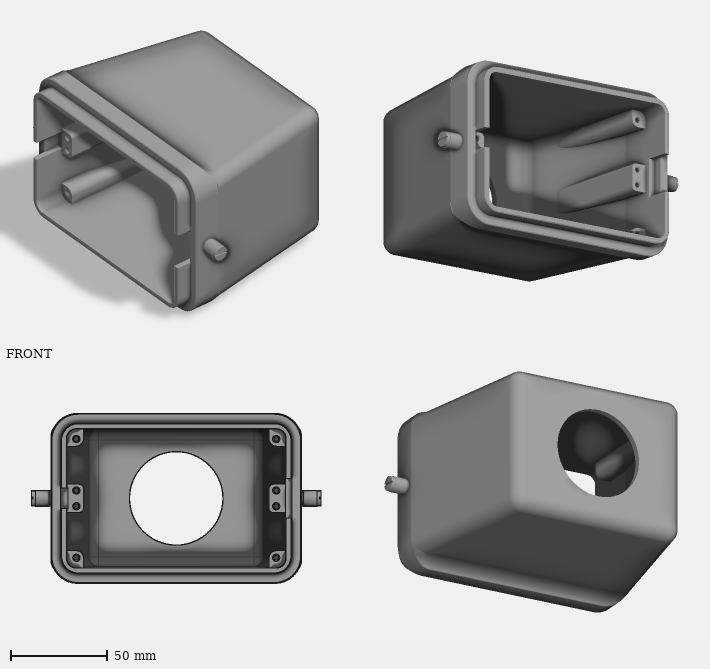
import cadquery as cq
depth = 106.0
pin_span = 150.8

collar_width = 130.5
collar_height = 88.5
collar_corner = 14.0
collar_front = 8.0
shoulder_end = 26.5
shoulder_cove = 10.0
shoulder_round = 0.8
edge_margin = 0.2
edge_break = 0.5

body_height = 78.5
body_end_width = 97.7
taper_start = 22.9
side_slope = (collar_width - body_end_width) / 2 / (depth - taper_start)
taper_front_width = collar_width + 2 * side_slope * (taper_start - collar_front)
body_round = 7.0

lip_width = 120.3
lip_corner = 9.0
wall = 3.0

cavity_kink = 33.2
cavity_floor = 102.2
cavity_end_width = 89.3
cavity_end_height = 70.9
cavity_mouth_width = lip_width - 2 * wall
cavity_mouth_height = body_height - 2 * wall
cavity_kink_width = 113.4
cavity_round = 5.0
cable_hole_diameter = 48.5

post_front = 16.6
post_inner_x = 48.3
corner_post_inner_z = 27.1
center_post_height = 14.8
post_round = 3.9
center_post_round = 2.3
screw_x = 52.0
corner_screw_z = 30.9
center_screw_z = 4.0
screw_diameter = 2.5
screw_mouth_diameter = 3.8
screw_depth = 12.0

left_notch_width = 10.7
right_notch_width = 20.7
left_notch_inner_x = 56.4
right_notch_inner_x = 56.5
left_notch_depth = 17.2
right_notch_depth = 13.5

pin_y = 16.6
pin_diameter = 8.5
pin_neck_diameter = 8.0
pin_neck_length = 0.9
pin_tip_length = 2.1
slot_width = 0.9
slot_depth = 0.8
slot_tilt = 5.0


def box(x_range, y_range, z_range):
    """Box given by its limits along each axis."""
    (x0, x1), (y0, y1), (z0, z1) = x_range, y_range, z_range
    return cq.Workplane("XY").box(x1 - x0, y1 - y0, z1 - z0, centered=False).translate((x0, y0, z0))


def rounded_block(width, height, corner, y_start, y_end):
    """Block along Y with rounded long edges."""
    block = box((-width / 2, width / 2), (y_start, y_end), (-height / 2, height / 2))
    return block.edges("|Y").fillet(corner)


def plan_prism(points, height):
    """Outline in X and Y, extruded symmetrically along Z."""
    return cq.Workplane("XY").polyline(points).close().extrude(height / 2, both=True)


def make_body():
    body = plan_prism(
        [
            (-taper_front_width / 2, collar_front),
            (taper_front_width / 2, collar_front),
            (body_end_width / 2, depth),
            (-body_end_width / 2, depth),
        ],
        body_height,
    )
    return body.edges("not(<Y)").fillet(body_round)


def make_collar(body):
    """Collar whose back sweeps onto the body's top, bottom and rounded edges."""
    back = shoulder_end - shoulder_cove
    margin = 2 * shoulder_cove
    slab = box(
        (-collar_width / 2 - margin, collar_width / 2 + margin),
        (collar_front, back),
        (-collar_height / 2 - margin, collar_height / 2 + margin),
    )
    swept = slab.union(body)
    meeting_edges = cq.selectors.BoxSelector(
        (-collar_width / 2 - shoulder_cove, back - edge_margin, -collar_height / 2),
        (collar_width / 2 + shoulder_cove, back + edge_margin, collar_height / 2),
        boundingbox=True,
    )
    swept = swept.edges(meeting_edges).fillet(shoulder_cove)
    outline = rounded_block(collar_width, collar_height, collar_corner, collar_front, shoulder_end)
    collar = swept.intersect(outline.faces("<Y").edges().chamfer(edge_break))
    ends = box(
        (-collar_width / 2, collar_width / 2),
        (taper_start, shoulder_end),
        (body_round - body_height / 2, body_height / 2 - body_round),
    ).cut(body)
    collar = collar.cut(ends)
    return collar.edges(">Z or <Z").edges("|X and >Y").fillet(shoulder_round)


def make_cavity():
    plan = plan_prism(
        [
            (-cavity_mouth_width / 2, 0),
            (cavity_mouth_width / 2, 0),
            (cavity_kink_width / 2, cavity_kink),
            (cavity_end_width / 2, cavity_floor),
            (-cavity_end_width / 2, cavity_floor),
            (-cavity_kink_width / 2, cavity_kink),
        ],
        cavity_mouth_height,
    )
    draft = (
        cq.Workplane("YZ")
        .polyline(
            [
                (0, -cavity_mouth_height / 2),
                (cavity_floor, -cavity_end_height / 2),
                (cavity_floor, cavity_end_height / 2),
                (0, cavity_mouth_height / 2),
            ]
        )
        .close()
        .extrude(cavity_mouth_width / 2, both=True)
    )
    cavity = plan.intersect(draft)
    return cavity.edges("not(|Z or <Y)").add(cavity.edges(">Y")).fillet(cavity_round)


def make_posts():
    x_range = (post_inner_x, cavity_mouth_width / 2 + wall / 2)
    y_range = (post_front, cavity_floor + wall / 2)
    center = box(x_range, y_range, (-center_post_height / 2, center_post_height / 2))
    center = center.edges("|Y and <X").fillet(center_post_round)
    corner = box(x_range, y_range, (corner_post_inner_z, cavity_mouth_height / 2 + wall / 2))
    corner = corner.edges("|Y and <X and <Z").fillet(post_round)
    side = center.union(corner).union(corner.mirror("XY"))
    return side.union(side.mirror("YZ"))


def make_screw_holes():
    """Countersunk blind holes in the front faces of the posts."""
    points = [
        (side * screw_x, z)
        for side in (-1, 1)
        for z in (-corner_screw_z, -center_screw_z, center_screw_z, corner_screw_z)
    ]
    countersink_depth = (screw_mouth_diameter - screw_diameter) / 2
    profile = [
        (0, 0),
        (screw_mouth_diameter / 2, 0),
        (screw_diameter / 2, countersink_depth),
        (screw_diameter / 2, screw_depth),
        (0, screw_depth),
    ]
    hole = cq.Workplane("XY").polyline(profile).close().revolve(360, (0, 0), (0, 1))
    holes = cq.Workplane("XY")
    for x, z in points:
        holes = holes.add(hole.translate((x, post_front, z)))
    return holes.combine()


def make_pin():
    """Pin on the +X side, stepped down at its root and tip, with a driver slot."""
    tip_x = pin_span / 2
    root_x = collar_width / 2
    barrel_start = root_x + pin_neck_length
    barrel_length = tip_x - pin_tip_length - barrel_start
    core_start = root_x - wall
    core = (
        cq.Workplane("YZ", origin=(core_start, pin_y, 0))
        .circle(pin_neck_diameter / 2)
        .extrude(tip_x - core_start)
    )
    barrel = (
        cq.Workplane("YZ", origin=(barrel_start, pin_y, 0)).circle(pin_diameter / 2).extrude(barrel_length)
    )
    slot = (
        cq.Workplane("XY")
        .box(2 * slot_depth, 2 * pin_diameter, slot_width)
        .rotate((0, 0, 0), (1, 0, 0), -slot_tilt)
        .translate((tip_x, pin_y, 0))
    )
    return core.union(barrel).cut(slot)


tapered_body = make_body()
rear_body = tapered_body.intersect(
    box((-collar_width / 2, collar_width / 2), (taper_start, depth), (-body_height / 2, body_height / 2))
)
body = rear_body.union(make_collar(tapered_body))
lip = rounded_block(lip_width, body_height, lip_corner, 0, taper_start)
body = body.union(lip.faces("<Y").edges().chamfer(edge_break))

cavity = make_cavity()
posts = make_posts().intersect(cavity)
shell = body.cut(cavity).union(posts).cut(make_screw_holes())

cable_hole = (
    cq.Workplane("XZ", origin=(0, cavity_floor - cavity_round, 0))
    .circle(cable_hole_diameter / 2)
    .extrude(-depth)
)
shell = shell.cut(cable_hole)

left_notch = box(
    (-lip_width / 2, -left_notch_inner_x), (0, left_notch_depth), (-left_notch_width / 2, left_notch_width / 2)
)
right_notch = box(
    (right_notch_inner_x, lip_width / 2), (0, right_notch_depth), (-right_notch_width / 2, right_notch_width / 2)
)
shell = shell.cut(left_notch).cut(right_notch)

pin = make_pin()
result = shell.union(pin).union(pin.mirror("YZ"))